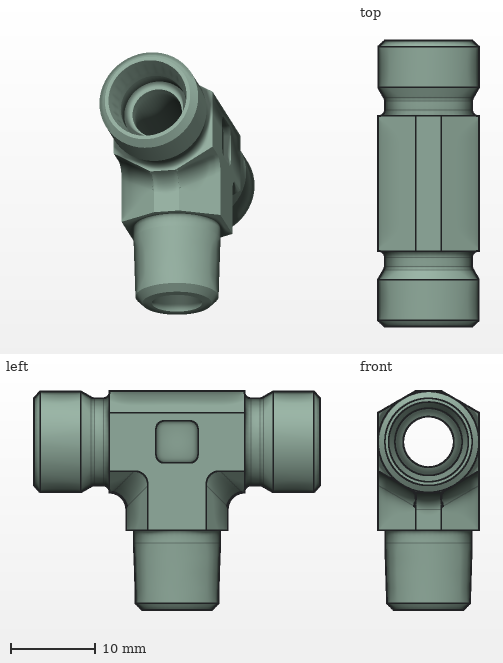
import cadquery as cq
import math

across_flats = 12.0
hex_tip = 6.05
run_half_length = 8.02
branch_end = 10.5
crotch_radius = 1.95

overall_length = 34.0
collar_diameter = across_flats
collar_length = 5.58
port_chamfer_length = 0.75
port_chamfer_depth = 0.8
neck_diameter = 10.4
neck_cone_angle = 30.0
neck_cone_radius = 0.8
neck_root_radius = 0.7

bore_diameter = 6.0
socket_diameter = 8.0
socket_depth = 5.58
socket_mouth_diameter = 9.5
socket_half_angle = 12.0

pipe_end = 20.0
pipe_diameter = 10.35
pipe_cylinder_length = 1.5
pipe_taper = 1 / 16
pipe_chamfer = 0.8

recess_size = 5.0
recess_corner_radius = 1.0
recess_depth = 0.9

port_end = overall_length / 2
flat = across_flats / 2
corner = flat / math.sqrt(3)
tip_half_width = math.sqrt(3) * (2 * corner - hex_tip)


def hexagon(plane):
    """Hexagon with flats at +X and -X and its other two corners trimmed."""
    quarter = [(flat, corner), (tip_half_width, hex_tip)]
    upper = quarter + [(-x, y) for x, y in reversed(quarter)]
    lower = [(-x, -y) for x, y in upper]
    return cq.Workplane(plane).polyline(upper + lower).close()


def make_body():
    run = hexagon("XZ").extrude(run_half_length, both=True)
    branch = hexagon("XY").extrude(-branch_end)
    body = run.union(branch)
    margin = 0.05
    reach = hex_tip + margin
    crotch = cq.selectors.BoxSelector((-flat, -reach, -reach), (flat, reach, -corner - margin))
    return body.edges(crotch).fillet(crotch_radius)


def make_port():
    """Port on the +Y end: chamfered collar, cone, neck and root fillet."""
    collar = collar_diameter / 2
    neck = neck_diameter / 2
    collar_start = port_end - collar_length
    angle = math.radians(neck_cone_angle)
    cone_foot = collar_start - (collar - neck) / math.tan(angle)
    tangent = neck_cone_radius * math.tan(angle / 2)
    arc_rise = neck_cone_radius * (1 - math.cos(angle / 2))
    arc_middle = cone_foot - tangent + neck_cone_radius * math.sin(angle / 2)
    root = neck_root_radius
    root_middle = root * (1 - math.sqrt(0.5))
    return (
        cq.Workplane("XY")
        .lineTo(neck + root, 0)
        .lineTo(neck + root, run_half_length)
        .threePointArc(
            (neck + root_middle, run_half_length + root_middle),
            (neck, run_half_length + root),
        )
        .lineTo(neck, cone_foot - tangent)
        .threePointArc(
            (neck + arc_rise, arc_middle),
            (neck + tangent * math.sin(angle), cone_foot + tangent * math.cos(angle)),
        )
        .lineTo(collar, collar_start)
        .lineTo(collar, port_end - port_chamfer_length)
        .lineTo(collar - port_chamfer_depth, port_end)
        .lineTo(0, port_end)
        .close()
        .revolve(360, (0, 0, 0), (0, 1, 0))
    )


def make_socket():
    """Tube socket in the +Y port: conical mouth, then a straight counterbore."""
    mouth = socket_mouth_diameter / 2
    seat = socket_diameter / 2
    cone_length = (mouth - seat) / math.tan(math.radians(socket_half_angle))
    return (
        cq.Workplane("XY")
        .polyline([
            (0, port_end - socket_depth),
            (seat, port_end - socket_depth),
            (seat, port_end - cone_length),
            (mouth, port_end),
            (0, port_end),
        ])
        .close()
        .revolve(360, (0, 0, 0), (0, 1, 0))
    )


def make_pipe():
    radius = pipe_diameter / 2
    taper_start = branch_end + pipe_cylinder_length
    chamfer_start = pipe_end - pipe_chamfer
    small_radius = radius - (chamfer_start - taper_start) * pipe_taper / 2
    return (
        cq.Workplane("XZ")
        .polyline([
            (0, -branch_end),
            (radius, -branch_end),
            (radius, -taper_start),
            (small_radius, -chamfer_start),
            (small_radius - pipe_chamfer, -pipe_end),
            (0, -pipe_end),
        ])
        .close()
        .revolve(360, (0, 0, 0), (0, 1, 0))
    )


def make_recess():
    return (
        cq.Workplane("YZ", origin=(-flat, 0, 0))
        .rect(recess_size, recess_size)
        .extrude(recess_depth)
        .edges("|X")
        .fillet(recess_corner_radius)
    )


result = make_body().union(make_pipe())
port = make_port()
socket = make_socket()
for turn in (0, 180):
    result = result.union(port.rotate((0, 0, 0), (0, 0, 1), turn))
    result = result.cut(socket.rotate((0, 0, 0), (0, 0, 1), turn))

run_bore = cq.Workplane("XZ").circle(bore_diameter / 2).extrude(port_end, both=True)
branch_bore = cq.Workplane("XY").circle(bore_diameter / 2).extrude(-pipe_end)
result = result.cut(run_bore).cut(branch_bore).cut(make_recess())